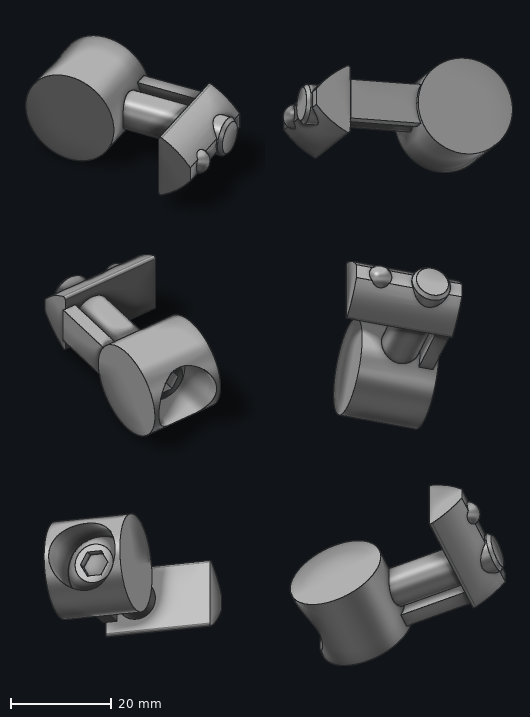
import cadquery as cq
import math

barrel_diameter = 19.7
barrel_width = 16.0
bore_diameter = 14.0

bar_inner_y = 4.1
bar_outer_y = 7.0
bar_height = 8.0

shank_diameter = 8.0
shank_tip_diameter = 6.65
shank_tip_length = 0.75
screw_end_x = 31.7
head_diameter = 13.8
head_flat_diameter = 8.0
head_height = 4.38
head_seat_x = 2.0
hex_across_flats = 5.0
hex_depth = 2.1

overall_length = 42.1
nut_seat_x = 23.55
nut_thickness = 7.1
nut_sharp_height = 14.3
nut_nose_height = 3.2
nut_back_y = 6.5
nut_length = 21.98
nut_flank_radius = 18.95
nut_edge_radius = 0.5
ball_diameter = 5.0
ball_y = -10.5

barrel_radius = barrel_diameter / 2
shank_radius = shank_diameter / 2
ball_x = overall_length - barrel_radius - ball_diameter / 2


def cylinder_along_x(diameter, start_x, end_x):
    return cq.Workplane("YZ", origin=(start_x, 0, 0)).circle(diameter / 2).extrude(end_x - start_x)


def make_barrel():
    body = cq.Workplane("XZ").circle(barrel_radius).extrude(barrel_width / 2, both=True)
    bar = cq.Workplane("XY").box(
        nut_seat_x, bar_outer_y - bar_inner_y, bar_height, centered=(False, False, True)
    ).translate((0, bar_inner_y, 0))
    body = body.union(bar)
    body = body.cut(cylinder_along_x(bore_diameter, -barrel_radius, head_seat_x))
    return body.cut(cylinder_along_x(shank_diameter, head_seat_x, barrel_radius))


def make_screw():
    head_top_x = head_seat_x - head_height
    head_radius = head_diameter / 2
    flat_radius = head_flat_diameter / 2
    dome_center_x = head_seat_x + (head_radius**2 - flat_radius**2 - head_height**2) / (2 * head_height)
    dome_radius = math.hypot(head_seat_x - dome_center_x, head_radius)
    start_angle = math.atan2(flat_radius, dome_center_x - head_top_x)
    end_angle = math.atan2(head_radius, dome_center_x - head_seat_x)
    middle_angle = (start_angle + end_angle) / 2
    dome_middle = (
        dome_center_x - dome_radius * math.cos(middle_angle),
        dome_radius * math.sin(middle_angle),
    )
    screw = (
        cq.Workplane("XY")
        .moveTo(head_top_x, 0)
        .lineTo(head_top_x, flat_radius)
        .threePointArc(dome_middle, (head_seat_x, head_radius))
        .lineTo(head_seat_x, shank_radius)
        .lineTo(screw_end_x - shank_tip_length, shank_radius)
        .lineTo(screw_end_x, shank_tip_diameter / 2)
        .lineTo(screw_end_x, 0)
        .close()
        .revolve(360, (0, 0, 0), (1, 0, 0))
    )
    hex_across_corners = hex_across_flats / math.cos(math.pi / 6)
    socket = cq.Workplane("YZ", origin=(head_top_x, 0, 0)).polygon(6, hex_across_corners).extrude(hex_depth)
    return screw.cut(socket)


def make_nut():
    nose_x = nut_seat_x + nut_thickness
    nose_z = nut_nose_height / 2
    edge_z = nut_sharp_height / 2
    nut = (
        cq.Workplane("XZ", origin=(0, nut_back_y, 0))
        .moveTo(nut_seat_x, -edge_z)
        .radiusArc((nose_x, -nose_z), -nut_flank_radius)
        .lineTo(nose_x, nose_z)
        .radiusArc((nut_seat_x, edge_z), -nut_flank_radius)
        .close()
        .extrude(nut_length)
        .edges("|Y and <X")
        .fillet(nut_edge_radius)
    )
    ball = cq.Workplane("XY").sphere(ball_diameter / 2).translate((ball_x, ball_y, 0))
    screw_hole = cylinder_along_x(shank_diameter, nut_seat_x, nose_x)
    return nut.cut(screw_hole).union(ball)


barrel = make_barrel()
screw = make_screw()
nut = make_nut()

result = cq.Compound.makeCompound([barrel.val(), screw.val(), nut.val()])